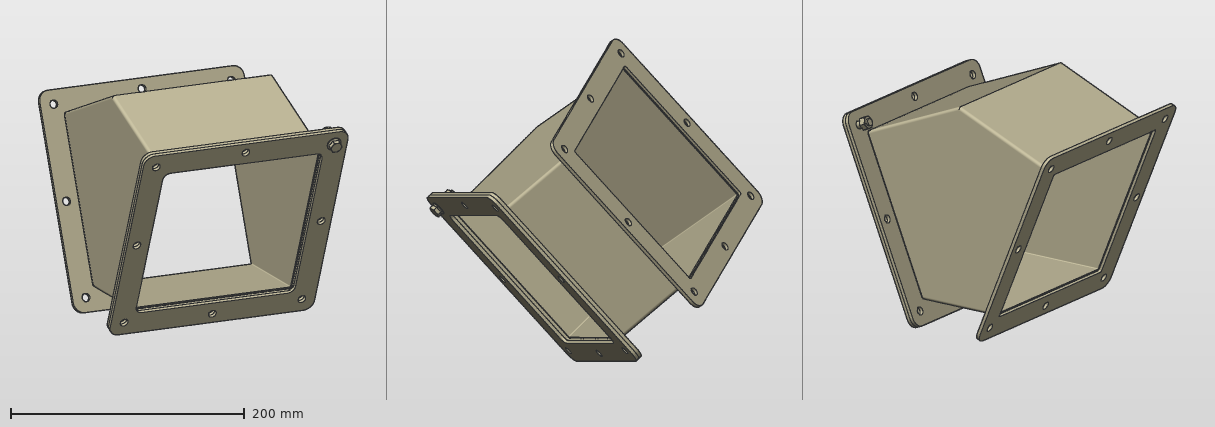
import cadquery as cq
import math

TILT = math.radians(22.5)
DUCT_SIZE = 152.4
DUCT_WALL = 1.897
DUCT_CORNER_RADIUS = 2.75
BOTTOM_HALF_LENGTH = 38.25

FLANGE_SIZE = 193.68
FLANGE_CORNER_RADIUS = 9.525
FLANGE_OPENING = 150.8
FLANGE_OPENING_RADIUS = 1.5
GASKET_OPENING_RADIUS = 6.35
FLANGE_THICKNESS = 3.175
GASKET_THICKNESS = 3.175
HOLE_DIAMETER = 7.14
CORNER_HOLE_INSET = 12.7
MIDDLE_HOLE_INSET = 9.525

BOLT_DIAMETER = 6.35
BOLT_LENGTH = 19.05
HEAD_ACROSS_FLATS = 9.525
HEAD_HEIGHT = 5.5
WASHER_FACE_DIAMETER = 12.7
WASHER_FACE_THICKNESS = 0.6
NECK_HEIGHT = 1.3
NUT_ACROSS_FLATS = 10.4
NUT_THICKNESS = 5.4
BOLT_TIP_LENGTH = 1.9
HEX_SIDES = 6
HEX_CHAMFER_ANGLE = math.radians(30)

BOLT_SEAT = FLANGE_THICKNESS + GASKET_THICKNESS
BOLT_TIP = BOLT_SEAT - BOLT_LENGTH
NUT_FREE_FACE = BOLT_TIP + BOLT_TIP_LENGTH


def mouth_plane(side, distance=0.0):
    """Plane across a duct mouth, moved outward by a distance; side is -1 or +1.

    The origin is at the middle of the mouth, local z points out of the duct,
    local y points up the slope of the flange.
    """
    out_x = math.cos(TILT)
    out_z = -math.sin(TILT)
    half_size = DUCT_SIZE / 2
    centre_x = BOTTOM_HALF_LENGTH + half_size * math.sin(TILT) + distance * out_x
    centre_z = half_size * math.cos(TILT) + distance * out_z
    return cq.Plane(
        origin=(side * centre_x, 0, centre_z),
        xDir=(0, side, 0),
        normal=(side * out_x, 0, out_z),
    )


def duct_block(inset, corner_radius):
    """Solid, rounded five-sided block between the mouths, inset from the outside of the duct."""
    slope_length = DUCT_SIZE - inset
    bottom_x = BOTTOM_HALF_LENGTH + inset * math.tan(TILT)
    top_x = BOTTOM_HALF_LENGTH + slope_length * math.sin(TILT)
    top_z = slope_length * math.cos(TILT)
    apex_z = top_z + top_x * math.tan(TILT)
    outline = [(-bottom_x, inset), (bottom_x, inset), (top_x, top_z), (0, apex_z), (-top_x, top_z)]
    block = (
        cq.Workplane("XZ")
        .polyline(outline)
        .close()
        .extrude(DUCT_SIZE / 2 - inset, both=True)
    )

    def runs_along_duct(edge):
        tangent = edge.tangentAt(0.5)
        return abs(tangent.x) > abs(tangent.z)

    return block.faces("<Y or >Y").edges().filter(runs_along_duct).fillet(corner_radius)


def square_ring(plane, thickness, opening_radius):
    """Flange or gasket plate with its opening and eight bolt holes."""
    corner = FLANGE_SIZE / 2 - CORNER_HOLE_INSET
    middle = FLANGE_SIZE / 2 - MIDDLE_HOLE_INSET
    holes = [(corner, corner), (-corner, corner), (-corner, -corner), (corner, -corner)]
    holes += [(middle, 0), (-middle, 0), (0, middle), (0, -middle)]
    opening = cq.Sketch().rect(FLANGE_OPENING, FLANGE_OPENING).vertices().fillet(opening_radius)
    outline = (
        cq.Sketch()
        .rect(FLANGE_SIZE, FLANGE_SIZE)
        .vertices()
        .fillet(FLANGE_CORNER_RADIUS)
        .reset()
        .face(opening, mode="s")
        .push(holes)
        .circle(HOLE_DIAMETER / 2, mode="s")
    )
    return cq.Workplane(plane).placeSketch(outline).extrude(thickness)


def at_bolt(distance):
    """Workplane on the bolt axis, at a distance outward from the duct mouth."""
    offset = FLANGE_SIZE / 2 - CORNER_HOLE_INSET
    return cq.Workplane(mouth_plane(1, distance)).center(offset, offset)


def cone(start, start_radius, rise, end_radius):
    """Truncated cone on the bolt axis; a negative rise runs inward."""
    return at_bolt(start).circle(start_radius).workplane(offset=rise).circle(end_radius).loft()


def chamfered_hexagon(inner, outer, across_flats, chamfered_end, inward):
    """Hexagonal prism whose corners are trimmed by a cone at one end.

    The inward factor is +1 or -1 and points from the chamfered end into the prism.
    """
    across_corners = across_flats / math.cos(math.pi / HEX_SIDES)
    prism = at_bolt(inner).polygon(HEX_SIDES, across_corners).extrude(outer - inner)
    cone_height = outer - inner
    cone_end_radius = across_flats / 2 + cone_height / math.tan(HEX_CHAMFER_ANGLE)
    return prism.intersect(cone(chamfered_end, across_flats / 2, inward * cone_height, cone_end_radius))


def make_bolt():
    shank = at_bolt(BOLT_TIP).circle(BOLT_DIAMETER / 2).extrude(BOLT_LENGTH)
    washer_face = at_bolt(BOLT_SEAT).circle(WASHER_FACE_DIAMETER / 2).extrude(WASHER_FACE_THICKNESS)
    neck = cone(
        BOLT_SEAT + WASHER_FACE_THICKNESS, WASHER_FACE_DIAMETER / 2, NECK_HEIGHT, HEAD_ACROSS_FLATS / 2
    )
    head_top = BOLT_SEAT + HEAD_HEIGHT
    hexagon = chamfered_hexagon(BOLT_SEAT, head_top, HEAD_ACROSS_FLATS, head_top, -1)
    return shank.union(washer_face).union(neck).union(hexagon)


def make_nut():
    free_face = NUT_FREE_FACE
    flange_side_face = NUT_FREE_FACE + NUT_THICKNESS
    blank = chamfered_hexagon(free_face, flange_side_face, NUT_ACROSS_FLATS, free_face, 1)
    bore = at_bolt(free_face).circle(BOLT_DIAMETER / 2).extrude(NUT_THICKNESS)
    return blank.cut(bore)


def make_duct():
    cavity = duct_block(DUCT_WALL, DUCT_CORNER_RADIUS - DUCT_WALL)
    return duct_block(0, DUCT_CORNER_RADIUS).cut(cavity)


duct = make_duct()
flanges = [square_ring(mouth_plane(side), FLANGE_THICKNESS, FLANGE_OPENING_RADIUS) for side in (-1, 1)]
gasket = square_ring(mouth_plane(1, FLANGE_THICKNESS), GASKET_THICKNESS, GASKET_OPENING_RADIUS)
bolt = make_bolt()
nut = make_nut()

result = cq.Compound.makeCompound(
    [duct.val(), *[flange.val() for flange in flanges], gasket.val(), bolt.val(), nut.val()]
)